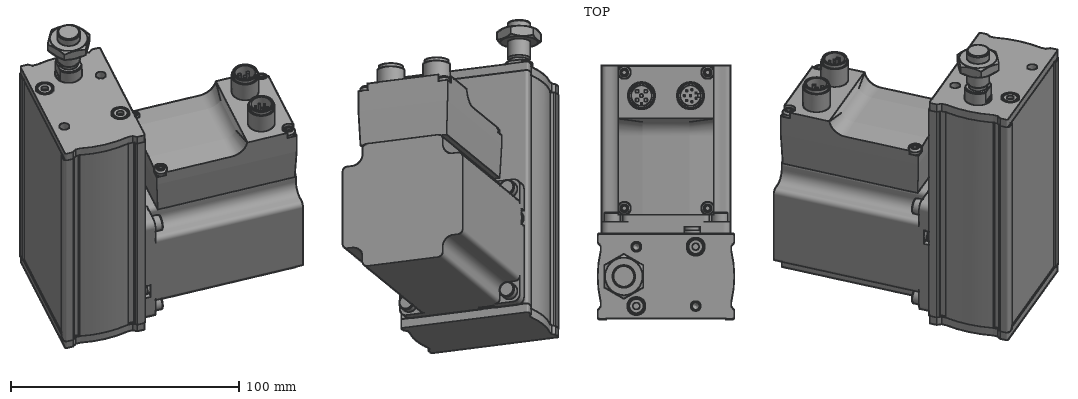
import cadquery as cq
import math


WIDTH = 60.0
HOUSING_DEPTH = 38.0
CAP_INSET = 0.5
CAP_THICKNESS = 4.0
HOUSING_HEIGHT = 108.0
MID_Y = HOUSING_DEPTH / 2
HOUSING_BOTTOM = CAP_THICKNESS
HOUSING_TOP = HOUSING_BOTTOM + HOUSING_HEIGHT
CAP_TOP = HOUSING_TOP + CAP_THICKNESS
HOUSING_CORNER_RADIUS = 1.2
CAP_HALF_DEPTH = HOUSING_DEPTH / 2 - CAP_INSET
CAP_CORNER_RADIUS = HOUSING_CORNER_RADIUS - CAP_INSET
HALF_WIDTH = WIDTH / 2
WAIST_INSET = 1.3
BULGE_REACH = 11.0
WAIST_REACH = 13.2
SHOULDER_REACH = 14.9
GROOVE_SLOPE_REACH = 10.8
GROOVE_INNER_REACH = 11.6
GROOVE_OUTER_REACH = 14.1
GROOVE_DEPTH = 1.0
PANEL_WIDTH = 52.2
PANEL_DEPTH = 1.0

BOLT_OFFSET = 13.0
SCREW_HEAD_DIAMETER = 7.0
SCREW_HEAD_HEIGHT = 2.8
SCREW_SHANK_DIAMETER = 4.0
SCREW_LENGTH = 12.0
SCREW_CHAMFER = 0.4
SOCKET_DIAMETER = 3.0
SOCKET_DEPTH = 1.8
COUNTERBORE_DIAMETER = 8.0
CLEARANCE_DIAMETER = 4.4
MOUNTING_HOLE_DIAMETER = 4.4
MOUNTING_TIP_DIAMETER = 3.24
MOUNTING_HOLE_DEPTH = 8.0

ROD_X = -18.5
COLLAR_DIAMETER = 12.0
COLLAR_TOP = CAP_TOP + 6.3
COLLAR_CHAMFER = 0.4
FLATS_WIDTH = 10.0
FLATS_BOTTOM = CAP_TOP + 1.0
NECK_DIAMETER = 8.4
THREAD_DIAMETER = 10.0
THREAD_BOTTOM = CAP_TOP + 7.8
THREAD_LEAD_IN = 0.8
ROD_TOP = 141.0
ROD_CHAMFER = 0.5
NUT_WIDTH = 17.0
NUT_HEIGHT = 5.0
NUT_BOTTOM = ROD_TOP - 8.9
NUT_CHAMFER_DIAMETER = 16.4
NUT_CHAMFER_SLOPE = math.radians(30)

MOTOR_SIZE = 56.6
SIDES = 4
QUARTER_TURN = 90
MOTOR_HALF = MOTOR_SIZE / 2
MOTOR_Z = 32.0
MOTOR_TOP = MOTOR_Z + MOTOR_HALF
FLANGE_THICKNESS = 5.0
FLANGE_RADIUS = 3.2
FLANGE_END = HOUSING_DEPTH + FLANGE_THICKNESS
MOTOR_END = 111.5
HOLLOW_RADIUS = 4.9
HOLLOW_CENTRE = 4.5
LIP_RADIUS = 2.2
MOTOR_SCREW_OFFSET = 23.6
MOTOR_SCREW_HEIGHT = 4.0
FLANGE_POCKET_OFFSET = 11.5
FLANGE_POCKET_DEPTH = 3.6
FLANGE_POCKET_LENGTH = 2.8
FLANGE_HEAD_STEP = 1.3
FLANGE_HEAD_TIP_DIAMETER = 6.35

LID_WIDTH = 42.0
LID_FRONT = 46.1
LID_REAR = 111.1
LID_BOTTOM = 76.0
LID_TOP = 88.3
LOW_TOP = 83.3
LOW_EDGE_DROP = 1.2
LOW_FLAT_WIDTH = 20.8
STEP_TOP_Y = 88.2
STEP_KNEE_Y = 86.7
STEP_KNEE_Z = 86.6
STEP_EDGE_LAND = 0.1
STEP_FOOT_Y = 80.7
BASE_TAPER = 2.5
LID_SCREW_INSET = 2.75
LID_SCREW_DIAMETER = 5.5
LID_SCREW_HEIGHT = 2.4
LID_POCKET_DIAMETER = 5.7
LID_POCKET_DEPTH = 3.0
LID_NOTCH = 4.3
LID_SCREW_CHAMFER = 1.0
LID_SOCKET_DIAMETER = 2.2
LID_SOCKET_DEPTH = 1.5

CONNECTOR_OFFSET = 10.75
CONNECTOR_Y = 98.2
CONNECTOR_DIAMETER = 12.0
CONNECTOR_SHOULDER = 97.6
CONNECTOR_TIP_DIAMETER = 10.7
CONNECTOR_TOP = 99.3
CONNECTOR_BORE = 9.02
CONNECTOR_FLOOR = 91.0
PIN_TOP = 97.0
PIN_CIRCLE_RADIUS = 2.7
POWER_PIN_DIAMETER = 1.5
SIGNAL_PIN_DIAMETER = 0.8
POWER_PIN_COUNT = 4
SIGNAL_PIN_COUNT = 7
SIGNAL_KEY_WIDTH = 1.5
POWER_KEY_WIDTH = 0.8
POWER_KEY_ANGLE = -90
SIGNAL_KEY_ANGLE = 0
POWER_FIRST_PIN_ANGLE = 45
SIGNAL_FIRST_PIN_ANGLE = 180

SCREW_PLACES = [(BOLT_OFFSET, MID_Y + BOLT_OFFSET), (-BOLT_OFFSET, MID_Y - BOLT_OFFSET)]
MOUNTING_PLACES = [(-BOLT_OFFSET, MID_Y + BOLT_OFFSET), (BOLT_OFFSET, MID_Y - BOLT_OFFSET)]


def cylinder(diameter, bottom, top, x, y):
    """Vertical cylinder between two heights."""
    return cq.Workplane("XY", origin=(x, y, bottom)).circle(diameter / 2).extrude(top - bottom)


def cylinder_along_y(diameter, start, end, x, z):
    """Cylinder along Y between two depths."""
    return cq.Workplane("XZ", origin=(x, start, z)).circle(diameter / 2).extrude(start - end)


def waisted_block(half_depth, bottom, height, corner_radius):
    """Block whose two sides have a bulge between two waists; shared by housing and caps."""
    waist_x = HALF_WIDTH - WAIST_INSET
    return (
        cq.Workplane("XY", origin=(0, MID_Y, bottom))
        .moveTo(HALF_WIDTH, -half_depth)
        .lineTo(HALF_WIDTH, -SHOULDER_REACH)
        .lineTo(waist_x, -WAIST_REACH)
        .lineTo(waist_x, -BULGE_REACH)
        .threePointArc((HALF_WIDTH, 0), (waist_x, BULGE_REACH))
        .lineTo(waist_x, WAIST_REACH)
        .lineTo(HALF_WIDTH, SHOULDER_REACH)
        .lineTo(HALF_WIDTH, half_depth)
        .lineTo(-HALF_WIDTH, half_depth)
        .lineTo(-HALF_WIDTH, SHOULDER_REACH)
        .lineTo(-waist_x, WAIST_REACH)
        .lineTo(-waist_x, BULGE_REACH)
        .threePointArc((-HALF_WIDTH, 0), (-waist_x, -BULGE_REACH))
        .lineTo(-waist_x, -WAIST_REACH)
        .lineTo(-HALF_WIDTH, -SHOULDER_REACH)
        .lineTo(-HALF_WIDTH, -half_depth)
        .close()
        .extrude(height)
        .edges("|Z and (<X or >X) and (<Y or >Y)")
        .fillet(corner_radius)
    )


def mounting_hole(x, y):
    """Blind threaded hole with a conical drill tip, opening on the top cap."""
    hole_bottom = CAP_TOP - MOUNTING_HOLE_DEPTH
    tip_radius = MOUNTING_TIP_DIAMETER / 2
    return (
        cq.Workplane("XZ", origin=(x, y, 0))
        .moveTo(0, CAP_TOP)
        .lineTo(MOUNTING_HOLE_DIAMETER / 2, CAP_TOP)
        .lineTo(MOUNTING_HOLE_DIAMETER / 2, hole_bottom)
        .lineTo(tip_radius, hole_bottom)
        .lineTo(0, hole_bottom - tip_radius)
        .close()
        .revolve(360, (0, 0, 0), (0, 1, 0))
    )


def make_housing():
    body = waisted_block(HOUSING_DEPTH / 2, HOUSING_BOTTOM, HOUSING_HEIGHT, HOUSING_CORNER_RADIUS)
    groove_floor_x = HALF_WIDTH - WAIST_INSET - GROOVE_DEPTH
    for side_x in (-1, 1):
        for side_y in (-1, 1):
            groove = (
                cq.Workplane("XY", origin=(0, MID_Y, HOUSING_BOTTOM))
                .moveTo(side_x * HALF_WIDTH, side_y * GROOVE_SLOPE_REACH)
                .lineTo(side_x * groove_floor_x, side_y * GROOVE_INNER_REACH)
                .lineTo(side_x * groove_floor_x, side_y * GROOVE_OUTER_REACH)
                .lineTo(side_x * HALF_WIDTH, side_y * GROOVE_OUTER_REACH)
                .close()
                .extrude(HOUSING_HEIGHT)
            )
            body = body.cut(groove)
    panel = (
        cq.Workplane("XY", origin=(0, 0, HOUSING_BOTTOM))
        .rect(PANEL_WIDTH, 2 * PANEL_DEPTH)
        .extrude(HOUSING_HEIGHT)
    )
    body = body.cut(panel)
    for x, y in SCREW_PLACES:
        body = body.cut(cylinder(SCREW_SHANK_DIAMETER, CAP_TOP - SCREW_LENGTH, HOUSING_TOP, x, y))
    for x, y in MOUNTING_PLACES:
        body = body.cut(mounting_hole(x, y))
    return body


def make_bottom_cap():
    return waisted_block(CAP_HALF_DEPTH, 0, CAP_THICKNESS, CAP_CORNER_RADIUS)


def make_top_cap():
    cap = waisted_block(CAP_HALF_DEPTH, HOUSING_TOP, CAP_THICKNESS, CAP_CORNER_RADIUS)
    cap = cap.cut(cylinder(COLLAR_DIAMETER, HOUSING_TOP, CAP_TOP, ROD_X, MID_Y))
    for x, y in SCREW_PLACES:
        cap = cap.cut(cylinder(CLEARANCE_DIAMETER, HOUSING_TOP, CAP_TOP, x, y))
        cap = cap.cut(cylinder(COUNTERBORE_DIAMETER, CAP_TOP - SCREW_HEAD_HEIGHT, CAP_TOP, x, y))
    for x, y in MOUNTING_PLACES:
        cap = cap.cut(mounting_hole(x, y))
    return cap


def make_cap_screw(x, y):
    head_bottom = CAP_TOP - SCREW_HEAD_HEIGHT
    head = cylinder(SCREW_HEAD_DIAMETER, head_bottom, CAP_TOP, x, y).faces(">Z").chamfer(SCREW_CHAMFER)
    shank = cylinder(SCREW_SHANK_DIAMETER, CAP_TOP - SCREW_LENGTH, head_bottom, x, y)
    socket = cylinder(SOCKET_DIAMETER, CAP_TOP - SOCKET_DEPTH, CAP_TOP, x, y)
    return head.union(shank).cut(socket)


def make_rod():
    collar_radius = COLLAR_DIAMETER / 2
    neck_radius = NECK_DIAMETER / 2
    thread_radius = THREAD_DIAMETER / 2
    rod = (
        cq.Workplane("XZ", origin=(ROD_X, MID_Y, 0))
        .moveTo(0, HOUSING_TOP)
        .lineTo(collar_radius, HOUSING_TOP)
        .lineTo(collar_radius, COLLAR_TOP - COLLAR_CHAMFER)
        .lineTo(collar_radius - COLLAR_CHAMFER, COLLAR_TOP)
        .lineTo(neck_radius, COLLAR_TOP)
        .lineTo(neck_radius, THREAD_BOTTOM)
        .lineTo(thread_radius, THREAD_BOTTOM + THREAD_LEAD_IN)
        .lineTo(thread_radius, ROD_TOP - ROD_CHAMFER)
        .lineTo(thread_radius - ROD_CHAMFER, ROD_TOP)
        .lineTo(0, ROD_TOP)
        .close()
        .revolve(360, (0, 0, 0), (0, 1, 0))
    )
    flat_centre = (FLATS_WIDTH + COLLAR_DIAMETER) / 2
    for side in (-1, 1):
        flat = (
            cq.Workplane("XY", origin=(ROD_X, MID_Y + side * flat_centre, FLATS_BOTTOM))
            .rect(COLLAR_DIAMETER, COLLAR_DIAMETER)
            .extrude(COLLAR_TOP - FLATS_BOTTOM)
        )
        rod = rod.cut(flat)
    return rod


def make_nut():
    corner_diameter = NUT_WIDTH / math.cos(math.radians(30))
    hexagon = (
        cq.Workplane("XY", origin=(ROD_X, MID_Y, NUT_BOTTOM))
        .transformed(rotate=(0, 0, 90))
        .polygon(6, corner_diameter)
        .extrude(NUT_HEIGHT)
    )
    rim = (corner_diameter - NUT_CHAMFER_DIAMETER) / 2
    drop = rim * math.tan(NUT_CHAMFER_SLOPE)
    turned_blank = (
        cylinder(corner_diameter, NUT_BOTTOM, NUT_BOTTOM + NUT_HEIGHT, ROD_X, MID_Y)
        .faces("<Z or >Z")
        .chamfer(drop, rim)
    )
    bore = cylinder(THREAD_DIAMETER, NUT_BOTTOM, NUT_BOTTOM + NUT_HEIGHT, ROD_X, MID_Y)
    return hexagon.intersect(turned_blank).cut(bore)


def corner_hollow(quarter_turns):
    """Channel along one corner: a concave arc around the screw with a rounded lip on each side."""
    edge = MOTOR_HALF
    flat = edge - HOLLOW_CENTRE
    floor = flat - HOLLOW_RADIUS
    lip = floor - LIP_RADIUS
    lip_side = edge - LIP_RADIUS
    diagonal = math.sqrt(0.5)
    arc_mid = flat - HOLLOW_RADIUS * diagonal
    lip_out = lip_side + LIP_RADIUS * diagonal
    lip_in = lip + LIP_RADIUS * diagonal
    return (
        cq.Workplane("XZ", origin=(0, FLANGE_END, 0))
        .moveTo(edge, edge)
        .lineTo(edge, lip)
        .threePointArc((lip_out, lip_in), (lip_side, floor))
        .lineTo(flat, floor)
        .threePointArc((arc_mid, arc_mid), (floor, flat))
        .lineTo(floor, lip_side)
        .threePointArc((lip_in, lip_out), (lip, edge))
        .close()
        .extrude(FLANGE_END - MOTOR_END)
        .rotate((0, 0, 0), (0, 1, 0), QUARTER_TURN * quarter_turns)
        .translate((0, 0, MOTOR_Z))
    )


def flange_pocket(quarter_turns):
    """Pocket in one flange side at the housing face."""
    return (
        cq.Workplane("XZ", origin=(FLANGE_POCKET_OFFSET, HOUSING_DEPTH, MOTOR_HALF))
        .rect(SCREW_HEAD_DIAMETER, 2 * FLANGE_POCKET_DEPTH)
        .extrude(-FLANGE_POCKET_LENGTH)
        .rotate((0, 0, 0), (0, 1, 0), QUARTER_TURN * quarter_turns)
        .translate((0, 0, MOTOR_Z))
    )


def flange_screw_head(quarter_turns):
    """Stepped screw head that shows in a flange pocket."""
    x = FLANGE_POCKET_OFFSET
    z = MOTOR_HALF - FLANGE_POCKET_DEPTH
    step_y = HOUSING_DEPTH + FLANGE_HEAD_STEP
    pocket_end = HOUSING_DEPTH + FLANGE_POCKET_LENGTH
    return (
        cylinder_along_y(SCREW_HEAD_DIAMETER, HOUSING_DEPTH, step_y, x, z)
        .union(cylinder_along_y(FLANGE_HEAD_TIP_DIAMETER, step_y, pocket_end, x, z))
        .rotate((0, 0, 0), (0, 1, 0), QUARTER_TURN * quarter_turns)
        .translate((0, 0, MOTOR_Z))
    )


def make_motor_body():
    flange = (
        cq.Workplane("XZ", origin=(0, HOUSING_DEPTH, MOTOR_Z))
        .rect(MOTOR_SIZE, MOTOR_SIZE)
        .extrude(-FLANGE_THICKNESS)
        .edges("|Y")
        .fillet(FLANGE_RADIUS)
    )
    body = (
        cq.Workplane("XZ", origin=(0, FLANGE_END, MOTOR_Z))
        .rect(MOTOR_SIZE, MOTOR_SIZE)
        .extrude(FLANGE_END - MOTOR_END)
    )
    for turn in range(SIDES):
        body = body.cut(corner_hollow(turn))
        flange = flange.cut(flange_pocket(turn)).union(flange_screw_head(turn))
    body = body.union(flange)
    head_end = FLANGE_END + MOTOR_SCREW_HEIGHT
    for side_x in (-1, 1):
        for side_z in (-1, 1):
            x = side_x * MOTOR_SCREW_OFFSET
            z = MOTOR_Z + side_z * MOTOR_SCREW_OFFSET
            head = cylinder_along_y(SCREW_HEAD_DIAMETER, FLANGE_END, head_end, x, z)
            body = body.union(head.faces(">Y").chamfer(SCREW_CHAMFER))
    return body


def step_outline(x, low_z, knee_y, knee_z):
    """Closed outline, in the YZ plane at x, of the material missing above the lowered lid part."""
    return (
        cq.Workplane("YZ", origin=(x, 0, 0))
        .moveTo(LID_FRONT, LID_TOP)
        .lineTo(LID_FRONT, low_z)
        .lineTo(STEP_FOOT_Y, low_z)
        .tangentArcPoint((knee_y, knee_z), relative=False)
        .lineTo(STEP_TOP_Y, LID_TOP)
        .close()
    )


def lid_step():
    """Cutter that lowers the front of the lid: flat in the middle, sloping down to both sides."""
    half_flat = LOW_FLAT_WIDTH / 2
    edge_knee_y = STEP_TOP_Y - STEP_EDGE_LAND
    edge_knee_z = LID_TOP - STEP_EDGE_LAND
    middle = step_outline(-half_flat, LOW_TOP, STEP_KNEE_Y, STEP_KNEE_Z)
    cutter = middle.extrude(LOW_FLAT_WIDTH)
    for side in (-1, 1):
        inner = step_outline(side * half_flat, LOW_TOP, STEP_KNEE_Y, STEP_KNEE_Z).val()
        outer = step_outline(side * LID_WIDTH / 2, LOW_TOP - LOW_EDGE_DROP, edge_knee_y, edge_knee_z).val()
        cutter = cutter.union(cq.Workplane(cq.Solid.makeLoft([inner, outer], True)))
    return cutter


def lid_screw_head(floor, x, y):
    """Chamfered screw head with a round socket, standing on a pocket floor."""
    top = floor + LID_SCREW_HEIGHT
    head = cylinder(LID_SCREW_DIAMETER, floor, top, x, y).faces(">Z").chamfer(LID_SCREW_CHAMFER)
    return head.cut(cylinder(LID_SOCKET_DIAMETER, top - LID_SOCKET_DEPTH, top, x, y))


def make_controller():
    lid_depth = LID_REAR - LID_FRONT
    lid_y = (LID_REAR + LID_FRONT) / 2
    base = (
        cq.Workplane("XY", origin=(0, lid_y, LID_BOTTOM))
        .rect(LID_WIDTH, lid_depth)
        .extrude(MOTOR_TOP - LID_BOTTOM, taper=BASE_TAPER)
    )
    lid = (
        cq.Workplane("XY", origin=(0, lid_y, LID_BOTTOM))
        .rect(LID_WIDTH, lid_depth)
        .extrude(LID_TOP - LID_BOTTOM)
        .cut(lid_step())
    )
    screw_x = LID_WIDTH / 2 - LID_SCREW_INSET
    screw_rows = [
        (LID_FRONT, LID_FRONT + LID_SCREW_INSET, LOW_TOP),
        (LID_REAR, LID_REAR - LID_SCREW_INSET, LID_TOP),
    ]
    for edge_y, y, surface in screw_rows:
        floor = surface - LID_POCKET_DEPTH
        for side in (-1, 1):
            x = side * screw_x
            notch = (
                cq.Workplane("XY", origin=(side * LID_WIDTH / 2, edge_y, floor))
                .rect(2 * LID_NOTCH, 2 * LID_NOTCH)
                .extrude(LID_POCKET_DEPTH)
            )
            lid = lid.cut(notch)
            lid = lid.cut(cylinder(LID_POCKET_DIAMETER, floor, surface, x, y))
            lid = lid.union(lid_screw_head(floor, x, y))
    return base.union(lid)


def connector_shell(x, key_angle, key_width):
    """Stepped socket with a key rib on the wall of its bore."""
    key_length = CONNECTOR_BORE / 2 - PIN_CIRCLE_RADIUS - SIGNAL_PIN_DIAMETER / 2
    key = (
        cq.Workplane("XY", origin=(CONNECTOR_BORE / 2 - key_length / 2, 0, CONNECTOR_FLOOR))
        .rect(key_length, key_width)
        .extrude(PIN_TOP - CONNECTOR_FLOOR)
        .rotate((0, 0, 0), (0, 0, 1), key_angle)
        .translate((x, CONNECTOR_Y, 0))
    )
    return (
        cylinder(CONNECTOR_DIAMETER, LID_TOP, CONNECTOR_SHOULDER, x, CONNECTOR_Y)
        .union(cylinder(CONNECTOR_TIP_DIAMETER, CONNECTOR_SHOULDER, CONNECTOR_TOP, x, CONNECTOR_Y))
        .cut(cylinder(CONNECTOR_BORE, CONNECTOR_FLOOR, CONNECTOR_TOP, x, CONNECTOR_Y))
        .union(key)
    )


def contact_pins(x, count, first_angle, diameter):
    """A ring of contact pins around a central one."""
    pins = cylinder(diameter, CONNECTOR_FLOOR, PIN_TOP, x, CONNECTOR_Y)
    for index in range(count):
        angle = math.radians(first_angle + index * 360 / count)
        pin_x = x + PIN_CIRCLE_RADIUS * math.cos(angle)
        pin_y = CONNECTOR_Y + PIN_CIRCLE_RADIUS * math.sin(angle)
        pins = pins.union(cylinder(diameter, CONNECTOR_FLOOR, PIN_TOP, pin_x, pin_y))
    return pins


def make_motor():
    power_x = -CONNECTOR_OFFSET
    signal_x = CONNECTOR_OFFSET
    motor = make_motor_body().union(make_controller())
    motor = motor.union(connector_shell(power_x, POWER_KEY_ANGLE, POWER_KEY_WIDTH))
    power_pins = contact_pins(power_x, POWER_PIN_COUNT, POWER_FIRST_PIN_ANGLE, POWER_PIN_DIAMETER)
    motor = motor.union(connector_shell(signal_x, SIGNAL_KEY_ANGLE, SIGNAL_KEY_WIDTH))
    signal_pins = contact_pins(signal_x, SIGNAL_PIN_COUNT, SIGNAL_FIRST_PIN_ANGLE, SIGNAL_PIN_DIAMETER)
    return motor.union(power_pins).union(signal_pins)


housing = make_housing()
bottom_cap = make_bottom_cap()
top_cap = make_top_cap()
rod = make_rod()
nut = make_nut()
motor = make_motor()
cap_screws = [make_cap_screw(x, y) for x, y in SCREW_PLACES]

result = cq.Compound.makeCompound(
    [
        housing.val(),
        bottom_cap.val(),
        top_cap.val(),
        rod.val(),
        nut.val(),
        motor.val(),
        *[screw.val() for screw in cap_screws],
    ]
)